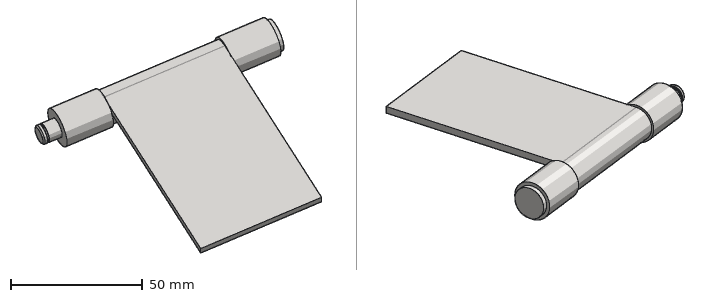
import cadquery as cq


total_length = 102.0
sleeve_diameter = 16.0
sleeve_length = 20.0
barrel_diameter = 14.2
leaf_thickness = 3.0
leaf_reach = 80.0
pin_diameter = 8.0
head_diameter = 13.2
head_height = 2.0
tail_length = 8.0
groove_offset = 5.4
groove_width = 0.7
groove_depth = 0.4
tip_chamfer = 0.6

barrel_radius = barrel_diameter / 2
knuckle_length = total_length - head_height - tail_length - 2 * sleeve_length
front_sleeve_start = tail_length
knuckle_start = front_sleeve_start + sleeve_length
rear_sleeve_start = knuckle_start + knuckle_length
head_start = rear_sleeve_start + sleeve_length


def cylinder_along_y(diameter, start, length):
    """Solid cylinder on the pin axis, running from start toward +Y."""
    plane = cq.Workplane("XZ", origin=(0, start, 0))
    return plane.circle(diameter / 2).extrude(-length)


def tube_along_y(diameter, start, length):
    """Cylinder with a through bore that fits the pin."""
    bore = cylinder_along_y(pin_diameter, start, length)
    return cylinder_along_y(diameter, start, length).cut(bore)


def make_leaf():
    """Barrel with a flat plate whose top face is tangent to it."""
    plate = (
        cq.Workplane("XY", origin=(0, knuckle_start, barrel_radius))
        .rect(leaf_reach, knuckle_length, centered=False)
        .extrude(-leaf_thickness)
    )
    barrel = cylinder_along_y(barrel_diameter, knuckle_start, knuckle_length)
    bore = cylinder_along_y(pin_diameter, knuckle_start, knuckle_length)
    return barrel.union(plate).cut(bore)


def make_pin():
    """Headed shaft with a retaining groove and a chamfered tip."""
    shaft = cylinder_along_y(pin_diameter, 0, head_start)
    shaft = shaft.faces("<Y").chamfer(tip_chamfer)
    head = cylinder_along_y(head_diameter, head_start, head_height)

    groove_start = tail_length - groove_offset - groove_width
    groove_floor_diameter = pin_diameter - 2 * groove_depth
    groove_ring = cylinder_along_y(pin_diameter, groove_start, groove_width).cut(
        cylinder_along_y(groove_floor_diameter, groove_start, groove_width)
    )
    return shaft.union(head).cut(groove_ring)


leaf = make_leaf()
pin = make_pin()
sleeves = [
    tube_along_y(sleeve_diameter, start, sleeve_length)
    for start in (front_sleeve_start, rear_sleeve_start)
]

result = cq.Compound.makeCompound([leaf.val(), pin.val(), *[sleeve.val() for sleeve in sleeves]])